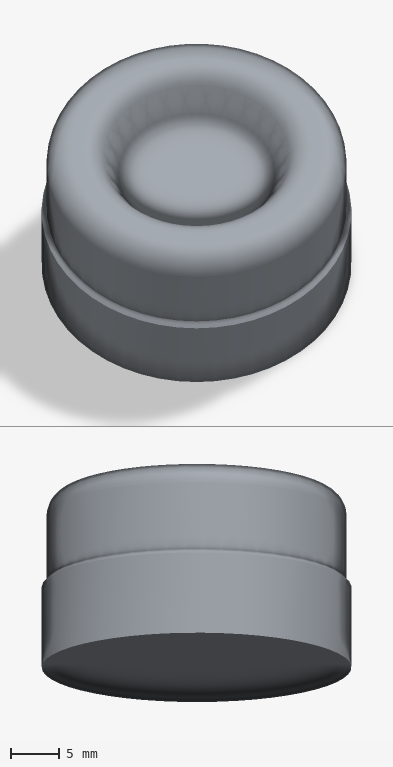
import cadquery as cq
import math

base_diameter = 32.0
base_height = 8.5
total_height = 18.5

flare_size = 0.5
shoulder_round = 2.4

mouth_radius = 11.75
mouth_round = 2.4
floor_radius = 7.0
recess_depth = 4.65
floor_round = 1.2
wall_angle = math.radians(60)

base_radius = base_diameter / 2
cap_radius = base_radius - flare_size


def arc_point(center, radius, angle):
    """Point (r, z) on a circle, at an angle measured from the +r direction."""
    return (center[0] + radius * math.cos(angle), center[1] + radius * math.sin(angle))


def make_base():
    """Plain round base."""
    return cq.Workplane("XY").circle(base_radius).extrude(base_height)


def make_cap():
    """Round cap with a flared foot, a rounded shoulder and a dished top, revolved about Z."""
    floor_z = total_height - recess_depth
    up = math.pi / 2
    down = -math.pi / 2

    shoulder_center = (cap_radius - shoulder_round, total_height - shoulder_round)
    mouth_center = (mouth_radius, total_height - mouth_round)
    floor_center = (floor_radius, floor_z + floor_round)

    wall_top = arc_point(mouth_center, mouth_round, up + wall_angle)
    wall_bottom = arc_point(floor_center, floor_round, down + wall_angle)

    profile = (
        cq.Workplane("XZ")
        .moveTo(0, base_height)
        .lineTo(base_radius, base_height)
        .lineTo(cap_radius, base_height + flare_size)
        .lineTo(cap_radius, shoulder_center[1])
        .threePointArc(
            arc_point(shoulder_center, shoulder_round, up / 2),
            (shoulder_center[0], total_height),
        )
        .lineTo(mouth_radius, total_height)
        .threePointArc(arc_point(mouth_center, mouth_round, up + wall_angle / 2), wall_top)
        .lineTo(*wall_bottom)
        .threePointArc(
            arc_point(floor_center, floor_round, down + wall_angle / 2),
            (floor_radius, floor_z),
        )
        .lineTo(0, floor_z)
        .close()
    )
    return profile.revolve(360, (0, 0, 0), (0, 1, 0))


base = make_base()
cap = make_cap()

result = cq.Compound.makeCompound([base.val(), cap.val()])